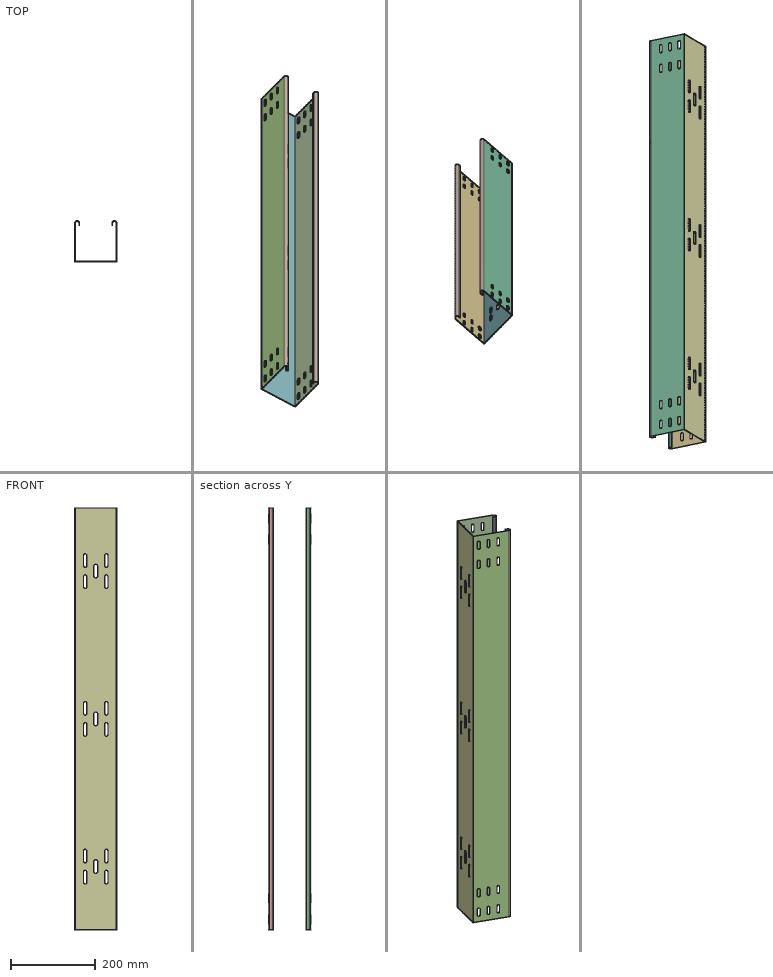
import cadquery as cq

length = 1000.0
width = 100.0
depth = 98.0
sheet = 2.0

lip_width = 12.0
lip_drop = 11.0

web_slot_length = 32.0
web_slot_width = 7.0
center_slot_width = 9.0
web_slot_pitch = 50.0
group_pitch = 350.0
group_count = 3

side_slot_length = 21.0
side_slot_width = 6.0
wide_side_slot_width = 8.0
first_column_y = 15.0
column_pitch = 25.0
end_row_offsets = (25.0, 75.0)


def make_wall_with_lip():
    """Side wall at -X with its return lip, rounded over at the open edge."""
    outer_radius = lip_width / 2
    inner_radius = outer_radius - sheet
    wall_x = -width / 2
    bend_y = depth - outer_radius
    lip_end_y = depth - lip_drop
    profile = (
        cq.Workplane("XY")
        .moveTo(wall_x, 0)
        .lineTo(wall_x, bend_y)
        .threePointArc((wall_x + outer_radius, depth), (wall_x + lip_width, bend_y))
        .lineTo(wall_x + lip_width, lip_end_y)
        .lineTo(wall_x + lip_width - sheet, lip_end_y)
        .lineTo(wall_x + lip_width - sheet, bend_y)
        .threePointArc((wall_x + outer_radius, bend_y + inner_radius), (wall_x + sheet, bend_y))
        .lineTo(wall_x + sheet, 0)
        .close()
    )
    return profile.extrude(length)


def make_channel():
    """Back web joined to two mirrored side walls."""
    web = cq.Workplane("XY").box(width, sheet, length, centered=(True, False, False))
    wall = make_wall_with_lip()
    return web.union(wall).union(wall.mirror("YZ"))


def web_slots(points, slot_width):
    """Upright slot cutters through the back web at (x, z) points."""
    return (
        cq.Workplane("XZ")
        .pushPoints(points)
        .slot2D(web_slot_length, slot_width, 90)
        .extrude(sheet, both=True)
    )


def side_slots(points, slot_width):
    """Upright slot cutters through both side walls at (y, z) points."""
    return (
        cq.Workplane("YZ")
        .pushPoints(points)
        .slot2D(side_slot_length, slot_width, 90)
        .extrude(width, both=True)
    )


group_heights = [length / 2 + (i - (group_count - 1) / 2) * group_pitch for i in range(group_count)]
half_pitch = web_slot_pitch / 2
center_points = [(0, z) for z in group_heights]
corner_points = [
    (x, z + dz)
    for z in group_heights
    for x in (-half_pitch, half_pitch)
    for dz in (-half_pitch, half_pitch)
]

row_heights = [z for offset in end_row_offsets for z in (offset, length - offset)]
wide_points = [(first_column_y, z) for z in row_heights]
narrow_points = [(first_column_y + i * column_pitch, z) for i in (1, 2) for z in row_heights]

result = (
    make_channel()
    .cut(web_slots(corner_points, web_slot_width))
    .cut(web_slots(center_points, center_slot_width))
    .cut(side_slots(narrow_points, side_slot_width))
    .cut(side_slots(wide_points, wide_side_slot_width))
)